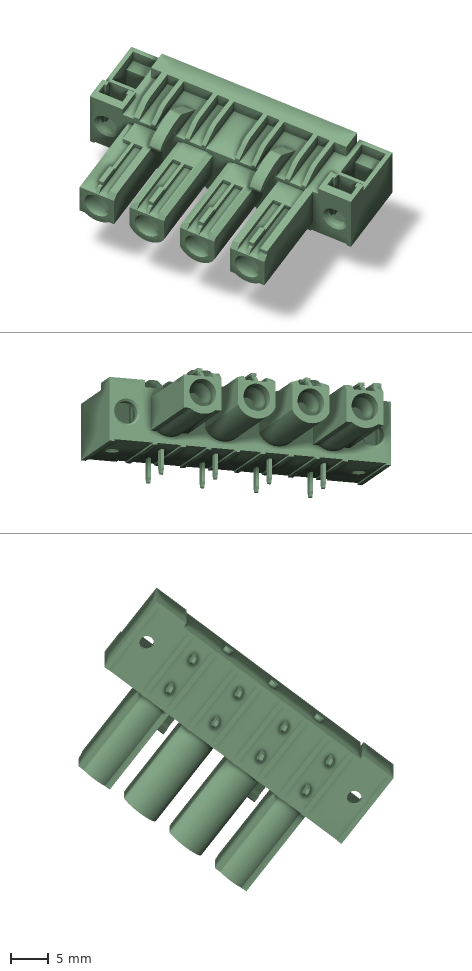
import cadquery as cq
import math


length = 39.65
body_depth = 11.35
base_z = 0.25
floor_z = 7.75
pitch = 7.6
contact_count = 4
contact_xs = [(i - (contact_count - 1) / 2) * pitch for i in range(contact_count)]

ledge_front_y = 7.75
ledge_back_y = 10.7
ledge_z = 9.6
rib_inner = 0.9
rib_outer = 1.6
first_rib_outer = 1.8
rib_arc_y = 3.35
rib_arc_radius = 2.9
rib_slope = math.radians(30)

stub_diameter = 1.25
stub_count = 3

block_inner_x = 14.85
block_front_depth = 3.5
block_front_z = 8.73
block_center_x = 17.37
pocket_width = 3.65
rear_pocket_front_y = 4.88
shelf_front_y = 8.85
shelf_z = 5.95
rear_pocket_floor_z = 1.2
mounting_hole_diameter = 1.9
mounting_hole_y = 6.0
nut_pocket_front_y = 1.23
nut_pocket_back_y = 4.4
nut_pocket_floor_z = 1.6
lip_front_y = 2.78
lip_width = 0.3
screw_hole_diameter = 3.1
screw_countersink_diameter = 3.65
screw_countersink_depth = 0.28

foot_width = 0.67
foot_offset = 2.0

axis_z = 4.12
socket_length = 13.2
socket_width = 5.25
socket_radius = 2.9
socket_corner_z = 1.85
socket_top_z = 7.1
socket_face_top_z = 6.4
socket_shoulder_z = 6.75
socket_shoulder_half = 1.75
nose_chamfer = 0.75
groove_half = 1.55
groove_back_y = -3.35
blade_width = 0.48
tab_width = 0.7
tab_back_y = -9.05
tab_front_y = -12.05
tab_bottom_z = 7.35
bore_diameter = 3.73
bore_end_diameter = 1.8
bore_straight_depth = 2.0
bore_cone_depth = 2.0

latch_width = 1.65
latch_xs = [-pitch, pitch]
latch_top_z = 10.55
latch_root_y = 5.47
crest_ramp_y = 1.9
crest_ramp_z = 10.25
crest_mid_y = 1.5
crest_mid_z = 10.47
crest_back_y = 1.05
crest_front_y = -0.48
arm_bend_y = -2.35
arm_bend_z = 10.1
tip_bend_y = -3.85
tip_bend_z = 9.32
latch_tip_y = -4.2
tip_face_top_z = 8.92
latch_hook_z = 8.33
hook_radius = 0.3
hook_back_y = -3.35
hook_mid_y = -3.15
hook_mid_z = 8.73
arm_under_front_y = -2.78
arm_under_back_y = -1.2
arm_under_z = 8.9
arm_root_z = 8.5

pin_thickness = 0.45
pin_width = 1.05
pin_tip_half = 0.3
pin_taper_z = -2.38
pin_tip_z = -2.8
pin_bottom_z = -3.17
pin_ys = [3.25, 8.33]


def box(x0, x1, y0, y1, z0, z1):
    return cq.Workplane("XY").box(x1 - x0, y1 - y0, z1 - z0, centered=False).translate((x0, y0, z0))


def bar(x, width, y0, y1, z0, z1):
    """Box centered on x."""
    return box(x - width / 2, x + width / 2, y0, y1, z0, z1)


def y_cylinder(x, z, diameter, y0, y1):
    return cq.Workplane("XZ", origin=(x, y0, z)).circle(diameter / 2).extrude(y0 - y1)


def y_cone(x, z, front_y, front_diameter, back_diameter, depth):
    return cq.Workplane(
        cq.Solid.makeCone(
            front_diameter / 2, back_diameter / 2, depth, cq.Vector(x, front_y, z), cq.Vector(0, 1, 0)
        )
    )


def make_rib(x0, x1):
    arc_end_y = rib_arc_y - rib_arc_radius * math.sin(rib_slope)
    arc_end_z = ledge_z - rib_arc_radius * (1 - math.cos(rib_slope))
    mid_y = rib_arc_y - rib_arc_radius * math.sin(rib_slope / 2)
    mid_z = ledge_z - rib_arc_radius * (1 - math.cos(rib_slope / 2))
    front_z = arc_end_z - arc_end_y * math.tan(rib_slope)
    return (
        cq.Workplane("YZ", origin=(x0, 0, 0))
        .moveTo(ledge_front_y, floor_z)
        .lineTo(ledge_front_y, ledge_z)
        .lineTo(rib_arc_y, ledge_z)
        .threePointArc((mid_y, mid_z), (arc_end_y, arc_end_z))
        .lineTo(0, front_z)
        .lineTo(0, floor_z)
        .close()
        .extrude(x1 - x0)
    )


def make_latch(x):
    return (
        cq.Workplane("YZ", origin=(x - latch_width / 2, 0, 0))
        .moveTo(latch_root_y, floor_z)
        .lineTo(crest_ramp_y, crest_ramp_z)
        .threePointArc((crest_mid_y, crest_mid_z), (crest_back_y, latch_top_z))
        .lineTo(crest_front_y, latch_top_z)
        .lineTo(arm_bend_y, arm_bend_z)
        .tangentArcPoint((tip_bend_y, tip_bend_z), relative=False)
        .lineTo(latch_tip_y, tip_face_top_z)
        .lineTo(latch_tip_y, latch_hook_z + hook_radius)
        .tangentArcPoint((latch_tip_y + hook_radius, latch_hook_z), relative=False)
        .lineTo(hook_back_y, latch_hook_z)
        .threePointArc((hook_mid_y, hook_mid_z), (arm_under_front_y, arm_under_z))
        .lineTo(arm_under_back_y, arm_under_z)
        .lineTo(0, arm_root_z)
        .lineTo(0, floor_z)
        .close()
        .extrude(latch_width)
    )


def make_end_block(side):
    """Mounting block for the end at +X (side 1) or -X (side -1)."""
    x = side * block_center_x
    inner, outer = sorted((side * block_inner_x, side * length / 2))
    half = pocket_width / 2
    block = box(inner, outer, 0, body_depth, base_z, floor_z)
    block = block.union(box(inner, outer, 0, block_front_depth, base_z, block_front_z))
    block = block.cut(bar(x, pocket_width, rear_pocket_front_y, shelf_front_y, rear_pocket_floor_z, floor_z))
    block = block.cut(bar(x, pocket_width, shelf_front_y, ledge_back_y, shelf_z, floor_z))
    block = block.cut(
        cq.Workplane("XY").center(x, mounting_hole_y).circle(mounting_hole_diameter / 2).extrude(floor_z)
    )
    nut_pocket = bar(
        x, pocket_width, nut_pocket_front_y, nut_pocket_back_y, nut_pocket_floor_z, block_front_z
    )
    for lip_side in (-1, 1):
        edge = sorted((x + lip_side * half, x + lip_side * (half - lip_width)))
        nut_pocket = nut_pocket.cut(
            box(edge[0], edge[1], lip_front_y, block_front_depth, nut_pocket_floor_z, block_front_z)
        )
    block = block.cut(nut_pocket)
    block = block.cut(y_cylinder(x, axis_z, screw_hole_diameter, 0, nut_pocket_front_y))
    return block.cut(
        y_cone(x, axis_z, 0, screw_countersink_diameter, screw_hole_diameter, screw_countersink_depth)
    )


def make_socket(x, end_side):
    """Socket around one contact; end_side is -1 or 1 for the outermost two and 0 between them."""
    half = socket_width / 2
    front_y = -socket_length
    nose_y = front_y + nose_chamfer
    wall_bottom_z = axis_z if end_side == 0 else socket_corner_z
    socket = y_cylinder(x, axis_z, 2 * socket_radius, front_y, 0)
    socket = socket.intersect(bar(x, socket_width, front_y, 0, 0, axis_z))
    socket = socket.union(bar(x, socket_width, front_y, 0, wall_bottom_z, socket_top_z))
    if end_side == 0:
        for side in (-1, 1):
            socket = socket.cut(
                cq.Workplane("XZ")
                .polyline(
                    [
                        (x + side * half, socket_shoulder_z),
                        (x + side * socket_shoulder_half, socket_top_z),
                        (x + side * half, socket_top_z),
                    ]
                )
                .close()
                .extrude(socket_length)
            )
    groove = bar(x, 2 * groove_half, front_y, groove_back_y, socket_face_top_z, socket_top_z)
    socket = socket.cut(groove)
    if end_side == -1:
        socket = socket.cut(box(x - half, x - groove_half, front_y, 0, socket_face_top_z, socket_top_z))
    if end_side == 1:
        socket = socket.union(box(x + groove_half, x + half, front_y, 0, socket_face_top_z, floor_z))
    blade = bar(x, blade_width, front_y, groove_back_y, socket_face_top_z, socket_top_z)
    tab_stem = bar(x, blade_width, tab_front_y, tab_back_y, socket_face_top_z, tab_bottom_z)
    tab = bar(x, tab_width, tab_front_y, tab_back_y, tab_bottom_z, floor_z)
    socket = socket.union(blade).union(tab_stem).union(tab)
    nose_cut = (
        cq.Workplane("YZ", origin=(x - half, 0, 0))
        .polyline(
            [
                (front_y, socket_face_top_z),
                (nose_y, socket_top_z),
                (nose_y, floor_z),
                (front_y, floor_z),
            ]
        )
        .close()
        .extrude(socket_width)
    )
    socket = socket.cut(nose_cut)
    cone_y = front_y + bore_straight_depth
    socket = socket.cut(y_cylinder(x, axis_z, bore_diameter, front_y, cone_y))
    return socket.cut(y_cone(x, axis_z, cone_y, bore_diameter, bore_end_diameter, bore_cone_depth))


def make_feet():
    def make_foot(x, foot_length):
        return bar(x, foot_width, 0, foot_length, 0, base_z)

    end_x = (length - foot_width) / 2
    feet = [make_foot(x, body_depth) for x in (-end_x, end_x)]
    for x in contact_xs:
        feet += [make_foot(x + offset, ledge_back_y) for offset in (-foot_offset, foot_offset)]
    return feet


def make_housing():
    housing = box(-block_inner_x, block_inner_x, 0, ledge_back_y, base_z, floor_z)
    housing = housing.union(
        box(-block_inner_x, block_inner_x, ledge_front_y, ledge_back_y, base_z, ledge_z)
    )
    for side in (-1, 1):
        housing = housing.union(make_end_block(side))
    for foot in make_feet():
        housing = housing.union(foot)
    for i in range(stub_count):
        x = (i - (stub_count - 1) / 2) * pitch
        housing = housing.union(y_cylinder(x, axis_z, stub_diameter, ledge_back_y, body_depth))
    for x in contact_xs:
        left_outer = first_rib_outer if x == contact_xs[0] else rib_outer
        housing = housing.union(make_rib(x - left_outer, x - rib_inner))
        housing = housing.union(make_rib(x + rib_inner, x + rib_outer))
    for x in latch_xs:
        housing = housing.union(make_latch(x))
    end_sides = [-1] + [0] * (contact_count - 2) + [1]
    for x, end_side in zip(contact_xs, end_sides):
        housing = housing.union(make_socket(x, end_side))
    return housing


def make_pin(x, y):
    half = pin_width / 2
    return (
        cq.Workplane("YZ", origin=(x - pin_thickness / 2, y, 0))
        .moveTo(-half, base_z)
        .lineTo(-half, pin_taper_z)
        .lineTo(-pin_tip_half, pin_tip_z)
        .threePointArc((0, pin_bottom_z), (pin_tip_half, pin_tip_z))
        .lineTo(half, pin_taper_z)
        .lineTo(half, base_z)
        .close()
        .extrude(pin_thickness)
    )


housing = make_housing()
pins = [make_pin(x, y) for x in contact_xs for y in pin_ys]
result = cq.Compound.makeCompound([housing.val(), *[pin.val() for pin in pins]])